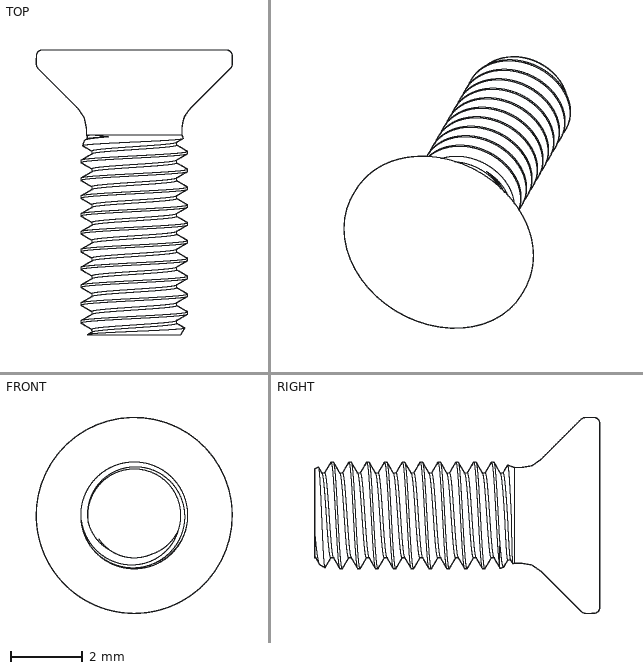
import cadquery as cq
import math

length = 8.0

head_radius = 2.75
head_rim_depth = 0.47
rim_fillet = 0.18
neck_radius = 1.34
neck_fillet = 0.8
neck_end_depth = 2.39
head_cone_depth = head_rim_depth + head_radius - neck_radius

thread_diameter = 3.0
crest_radius = thread_diameter / 2
root_radius = 1.19
pitch = thread_diameter / 6
crest_flat = pitch / 8
flank_angle = 30
flank_slope = math.tan(math.radians(flank_angle))
shank_start_angle = 20
shank_start_length = (crest_radius - neck_radius) / math.tan(math.radians(shank_start_angle))

tip_radius = 1.3
tip_chamfer_angle = 30
tip_chamfer_length = (crest_radius - tip_radius) / math.tan(math.radians(tip_chamfer_angle))
dish_radius = 1.24
dish_depth = 0.05

runout_depth = 2.63
runout_pitch = 0.35
runout_climb = 0.26
runout_turns = 0.85
full_turns = 12
groove_clearance = 0.02


def revolve_about_axis(points):
    """Revolve a closed outline of (radius, Y) points about the Y axis."""
    return cq.Workplane("XY").polyline(points).close().revolve(360, (0, 0, 0), (0, 1, 0))


def make_head():
    """Head with a rounded rim, a 45 degree cone and a cylindrical neck."""
    head = revolve_about_axis([
        (0, 0),
        (head_radius, 0),
        (head_radius, -head_rim_depth),
        (neck_radius, -head_cone_depth),
        (neck_radius, -neck_end_depth),
        (0, -neck_end_depth),
    ])
    for corner_depth, radius in [
        (0, rim_fillet),
        (head_rim_depth, rim_fillet),
        (head_cone_depth, neck_fillet),
    ]:
        corner = cq.selectors.NearestToPointSelector((0, -corner_depth, 0))
        head = head.edges("%CIRCLE").edges(corner).fillet(radius)
    return head


def make_shank_blank():
    """Unthreaded shank, tapered at both ends, with a shallow conical dish in the tip."""
    return revolve_about_axis([
        (0, -neck_end_depth),
        (neck_radius, -neck_end_depth),
        (crest_radius, -neck_end_depth - shank_start_length),
        (crest_radius, -length + tip_chamfer_length),
        (tip_radius, -length),
        (dish_radius, -length),
        (0, -length + dish_depth),
    ])


def make_groove(start_y, turns, lead, climb):
    """Right-handed 60 degree V groove with a flat root, starting on the +X side at start_y.

    Each turn moves the groove by lead toward +Y and by climb away from the axis.
    """
    outer_radius = crest_radius + groove_clearance
    outer_half_width = (pitch - crest_flat) / 2 + groove_clearance * flank_slope
    root_half_width = outer_half_width - (outer_radius - root_radius) * flank_slope
    section = [
        (outer_radius, -outer_half_width),
        (root_radius, -root_half_width),
        (root_radius, root_half_width),
        (outer_radius, outer_half_width),
    ]
    if climb > 0:
        helix_angle = math.degrees(math.atan(climb / lead))
    else:
        helix_angle = 360
    slope_pitch = math.hypot(lead, climb)
    paths = [
        cq.Wire.makeHelix(
            slope_pitch, turns * slope_pitch, radius, cq.Vector(0, 0, offset), angle=helix_angle
        )
        for radius, offset in section
    ]
    sides = [
        cq.Face.makeRuledSurface(paths[i - 1], paths[i])
        for i in range(len(paths))
    ]
    caps = [
        cq.Face.makeFromWires(cq.Wire.makePolygon([path.positionAt(end) for path in paths], close=True))
        for end in (0, 1)
    ]
    groove = cq.Solid.makeSolid(cq.Shell.makeShell(sides + caps))
    groove = groove.rotate(cq.Vector(0, 0, 0), cq.Vector(1, 0, 0), -90)
    return groove.translate(cq.Vector(0, start_y, 0))


shank = make_shank_blank()
for turn in range(1, full_turns + 1):
    shank = shank.cut(make_groove(-runout_depth - turn * pitch, 1, pitch, 0))
shank = shank.cut(make_groove(-runout_depth, runout_turns, runout_pitch, runout_climb))

result = make_head().union(shank)